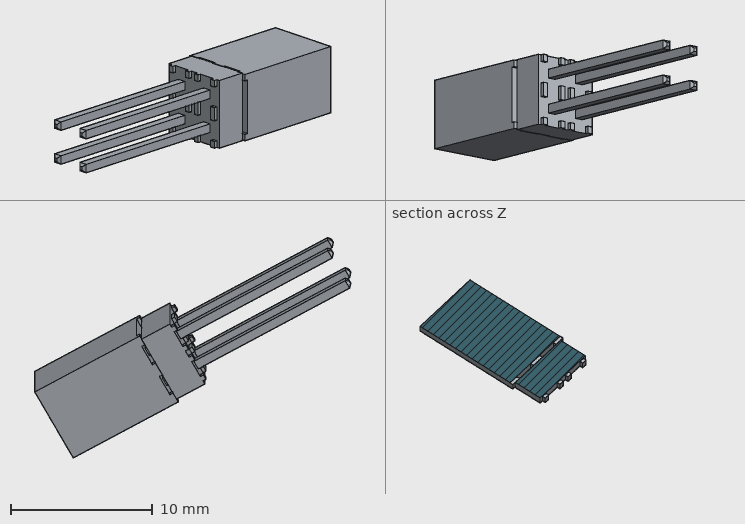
import cadquery as cq

PITCH = 2.54
PIN_SIZE = 0.64
PIN_TIP_SIZE = 0.25
PIN_TIP_LENGTH = 0.2

TOTAL_LENGTH = 23.24
HOUSING_LENGTH = 8.5
HEADER_LENGTH = 2.29
STANDOFF_HEIGHT = 0.25
RELIEF_DEPTH = 0.254

HOUSING_WIDTH = 5.59
HOUSING_HEIGHT = 4.98

HEADER_SIZE = 2 * PITCH

STANDOFF_WIDTH = 0.38
STANDOFF_DEPTH = 0.5
STANDOFF_OFFSET = 0.82

SIDE_RELIEF_HEIGHT = 4.0
PIN_RELIEF_WIDTH = 1.54

PIN_TIP_Y = HOUSING_LENGTH - TOTAL_LENGTH
PIN_CENTERS = [(x, z) for x in (-PITCH / 2, PITCH / 2) for z in (-PITCH / 2, PITCH / 2)]


def block(width, height, y_start, y_end, x=0, z=0):
    """Box centred on (x, z) in cross-section and spanning y_start to y_end."""
    length = y_end - y_start
    return cq.Workplane("XY").box(width, length, height).translate((x, y_start + length / 2, z))


def make_housing():
    """Rectangular housing with its end face relieved across X and beside each pin across Z."""
    housing = block(HOUSING_WIDTH, HOUSING_HEIGHT, 0, HOUSING_LENGTH)
    housing = housing.cut(block(HOUSING_WIDTH, SIDE_RELIEF_HEIGHT, 0, RELIEF_DEPTH))
    for x in (-PITCH / 2, PITCH / 2):
        housing = housing.cut(block(PIN_RELIEF_WIDTH, HOUSING_HEIGHT, 0, RELIEF_DEPTH, x))
    return housing


def make_header():
    """Square header block with four standoff feet around each pin."""
    header = block(HEADER_SIZE, HEADER_SIZE, -HEADER_LENGTH, 0)
    standoff_end = -HEADER_LENGTH - STANDOFF_HEIGHT
    standoff_z = (PITCH - STANDOFF_DEPTH) / 2
    for pin_x, pin_z in PIN_CENTERS:
        for side_x in (-1, 1):
            for side_z in (-1, 1):
                foot = block(
                    STANDOFF_WIDTH,
                    STANDOFF_DEPTH,
                    standoff_end,
                    -HEADER_LENGTH,
                    pin_x + side_x * STANDOFF_OFFSET,
                    pin_z + side_z * standoff_z,
                )
                header = header.union(foot)
    return header


def make_pin(x, z):
    """Square pin from the relieved housing face to a tapered tip."""
    shank_end = PIN_TIP_Y + PIN_TIP_LENGTH
    shank = block(PIN_SIZE, PIN_SIZE, shank_end, RELIEF_DEPTH, x, z)
    tip = (
        cq.Workplane("XZ", origin=(x, shank_end, z))
        .rect(PIN_SIZE, PIN_SIZE)
        .workplane(offset=PIN_TIP_LENGTH)
        .rect(PIN_TIP_SIZE, PIN_TIP_SIZE)
        .loft(ruled=True)
    )
    return shank.union(tip)


result = make_housing().union(make_header())
for center_x, center_z in PIN_CENTERS:
    result = result.union(make_pin(center_x, center_z))